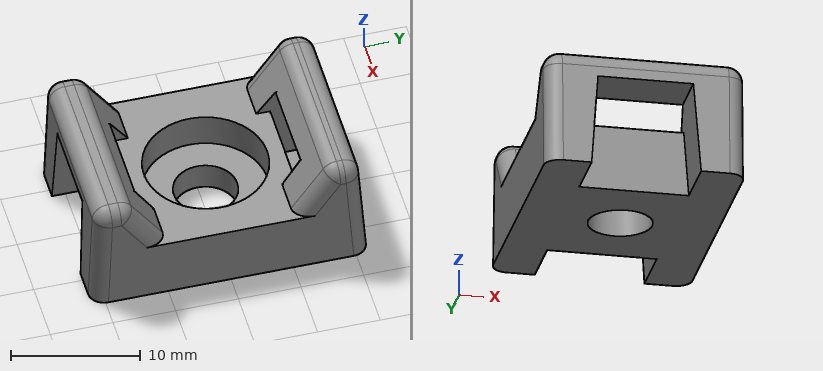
import cadquery as cq
import math

width = 15.7
length = 22.15
height = 9.5
base_height = 5.25
edge_radius = 1.29

front_draft = 2.2
back_draft = 4.3
inner_slope = 34.7
inner_foot = 5.12

opening_height = 7.42
opening_bottom_width = 8.62
opening_top_width = 7.51
core_length = 12.48

hole_x = 0.18
hole_diameter = 5.05
recess_diameter = 9.85
recess_depth = 2.88

def end_wall(side, draft):
    """Wall with all edges rounded except those on the bottom; side is the sign of Y."""
    slope = math.tan(math.radians(inner_slope))
    outer_bottom = length / 2
    outer_top = outer_bottom - height * math.tan(math.radians(draft))
    inner_bottom = inner_foot - base_height * slope
    inner_top = inner_foot + (height - base_height) * slope
    profile = [
        (side * inner_bottom, 0),
        (side * outer_bottom, 0),
        (side * outer_top, height),
        (side * inner_top, height),
    ]
    prism = cq.Workplane("YZ").polyline(profile).close().extrude(width / 2, both=True)
    return prism.edges("not <Z").fillet(edge_radius)

def strap_opening(side):
    """Tapered cutter running from the core out through one end wall."""
    profile = [
        (-opening_bottom_width / 2, 0),
        (opening_bottom_width / 2, 0),
        (opening_top_width / 2, opening_height),
        (-opening_top_width / 2, opening_height),
    ]
    cutter = cq.Workplane("XZ").polyline(profile).close().extrude(-side * length)
    core = cq.Workplane("XY").box(width, core_length, base_height, centered=(True, True, False))
    return cutter.cut(core)

base_length = length - 4 * edge_radius
result = cq.Workplane("XY").box(width, base_length, base_height, centered=(True, True, False))

for side, draft in ((-1, front_draft), (1, back_draft)):
    result = result.union(end_wall(side, draft))

result = (
    result.cut(strap_opening(-1))
    .cut(strap_opening(1))
    .copyWorkplane(cq.Workplane("XY", origin=(hole_x, 0, base_height)))
    .cboreHole(hole_diameter, recess_diameter, recess_depth)
)